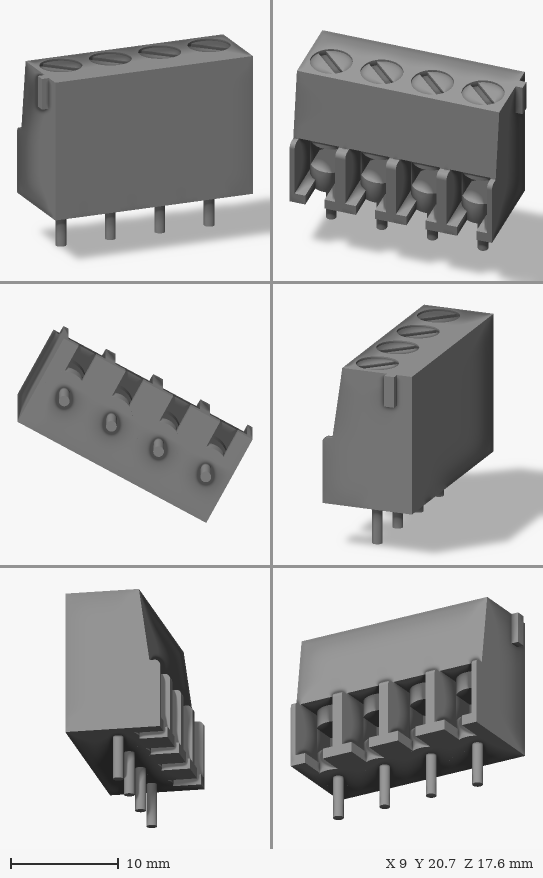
import cadquery as cq

poles = 4
pitch = 5.0

housing_length = poles * pitch
housing_depth = 9.0
housing_height = 13.5
front_x = -housing_depth / 2
back_x = housing_depth / 2
shelf_depth = 1.0
shelf_height = 6.5
shelf_radius = 0.5
top_setback = 2.0

entry_width = 4.0
entry_floor = 1.0
entry_roof = 6.6
floor_slit_width = 1.9

rib_front_x = 2.0
rib_width = 1.0
rib_height = 3.0
rib_projection = 0.7

screw_diameter = 4.0
screw_recess = 0.2
screw_top = housing_height - screw_recess
drive_slot_width = 0.8
drive_slot_depth = 0.4
drive_slot_angle = 45
window_width = 3.2
window_bottom = 2.25
window_top = 4.9

pin_diameter = 1.0
pin_length = 4.1

pole_positions = [(i - (poles - 1) / 2) * pitch for i in range(poles)]


def box(x_min, x_max, y_center, y_width, z_min, z_max):
    """Box centred on y_center with explicit X and Z limits."""
    return (
        cq.Workplane("XY", origin=(x_min, y_center, z_min))
        .box(x_max - x_min, y_width, z_max - z_min, centered=(False, True, False))
    )


def housing_profile():
    """Side outline with a rounded front shelf and a sloping upper front, extruded along Y."""
    return (
        cq.Workplane("XZ", origin=(0, housing_length / 2, 0))
        .moveTo(front_x, 0)
        .lineTo(back_x, 0)
        .lineTo(back_x, housing_height)
        .lineTo(front_x + top_setback, housing_height)
        .lineTo(front_x + shelf_depth, shelf_height)
        .lineTo(front_x + shelf_radius, shelf_height)
        .radiusArc((front_x, shelf_height - shelf_radius), -shelf_radius)
        .close()
        .extrude(housing_length)
    )


def keying_rib():
    """Short rib standing off the -Y end, flush with the housing top."""
    return box(
        rib_front_x,
        rib_front_x + rib_width,
        -(housing_length + rib_projection) / 2,
        rib_projection,
        housing_height - rib_height,
        housing_height,
    )


def make_housing():
    """Block with a screw bore, a wire entry and a narrower floor slit at each pole."""
    housing = housing_profile().union(keying_rib())
    for y in pole_positions:
        bore = cq.Workplane("XY", origin=(0, y, 0)).circle(screw_diameter / 2).extrude(housing_height)
        entry = box(front_x, 0, y, entry_width, entry_floor, entry_roof)
        floor_slit = box(front_x, 0, y, floor_slit_width, 0, entry_floor)
        housing = housing.cut(bore).cut(entry).cut(floor_slit)
    return housing


def make_screw(y):
    """Slotted cylinder filling the bore, with a rectangular wire window through it along X."""
    radius = screw_diameter / 2
    body = cq.Workplane("XY", origin=(0, y, 0)).circle(radius).extrude(screw_top)
    drive_slot = (
        cq.Workplane("XY", origin=(0, y, screw_top - drive_slot_depth))
        .transformed(rotate=(0, 0, drive_slot_angle))
        .rect(2 * screw_diameter, drive_slot_width)
        .extrude(drive_slot_depth)
    )
    window = box(-radius, radius, y, window_width, window_bottom, window_top)
    return body.cut(drive_slot).cut(window)


def make_pin(y):
    """Round solder pin hanging from the underside of its screw."""
    return cq.Workplane("XY", origin=(0, y, 0)).circle(pin_diameter / 2).extrude(-pin_length)


housing = make_housing()
screws = [make_screw(y) for y in pole_positions]
pins = [make_pin(y) for y in pole_positions]

result = cq.Compound.makeCompound(
    [housing.val()]
    + [screw.val() for screw in screws]
    + [pin.val() for pin in pins]
)